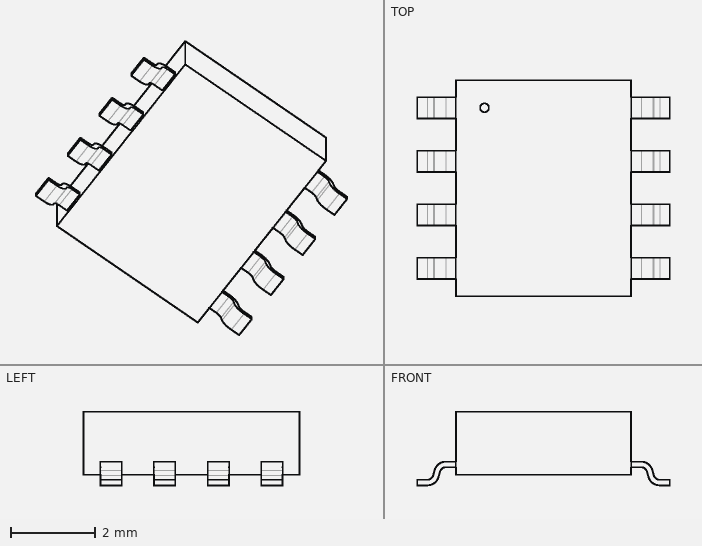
import cadquery as cq
import math

overall_length = 5.99
overall_height = 1.75

housing_length = 4.15
housing_width = 5.13
standoff = 0.25
housing_height = overall_height - standoff

marker_diameter = 0.21
marker_depth = 0.03
marker_inset_x = 0.675
marker_inset_y = 0.66
marker_x = -housing_length / 2 + marker_inset_x
marker_y = housing_width / 2 - marker_inset_y

leads_per_side = 4
lead_pitch = 1.27
lead_width = 0.51
lead_thickness = 0.14
lead_height = 0.57
foot_length = 0.24
bend_angle = math.radians(75)
inner_radius = 0.145
outer_radius = inner_radius + lead_thickness

bend_drop = (inner_radius + outer_radius) * (1 - math.cos(bend_angle))
web_length = (lead_height - lead_thickness - bend_drop) / math.sin(bend_angle)
bend_run = (inner_radius + outer_radius) * math.sin(bend_angle) + web_length * math.cos(bend_angle)

root_x = housing_length / 2
tip_x = overall_length / 2
foot_bend_x = tip_x - foot_length
foot_bend_z = outer_radius
shoulder_bend_x = foot_bend_x - bend_run
shoulder_bend_z = lead_height - outer_radius


def shoulder_point(radius, angle):
    """Point on the shoulder bend, with the angle measured from straight up toward the tip."""
    return (
        shoulder_bend_x + radius * math.sin(angle),
        shoulder_bend_z + radius * math.cos(angle),
    )


def foot_point(radius, angle):
    """Point on the foot bend, with the angle measured from straight down toward the housing."""
    return (
        foot_bend_x - radius * math.sin(angle),
        foot_bend_z - radius * math.cos(angle),
    )


def make_housing():
    """Plain block with a shallow round recess for the marker."""
    block = cq.Workplane("XY").box(
        housing_length, housing_width, housing_height, centered=(True, True, False)
    )
    return block.translate((0, 0, standoff)).cut(make_marker())


def make_marker():
    """Thin disc flush with the top of the housing."""
    return (
        cq.Workplane("XY", origin=(marker_x, marker_y, overall_height))
        .circle(marker_diameter / 2)
        .extrude(-marker_depth)
    )


def make_lead(y, turn):
    """S-shaped strip centred on y, turned about Z to put it on its side of the housing."""
    half_angle = bend_angle / 2
    lead = (
        cq.Workplane("XZ")
        .moveTo(root_x, lead_height)
        .lineTo(*shoulder_point(outer_radius, 0))
        .threePointArc(shoulder_point(outer_radius, half_angle), shoulder_point(outer_radius, bend_angle))
        .lineTo(*foot_point(inner_radius, bend_angle))
        .threePointArc(foot_point(inner_radius, half_angle), foot_point(inner_radius, 0))
        .lineTo(tip_x, lead_thickness)
        .lineTo(tip_x, 0)
        .lineTo(*foot_point(outer_radius, 0))
        .threePointArc(foot_point(outer_radius, half_angle), foot_point(outer_radius, bend_angle))
        .lineTo(*shoulder_point(inner_radius, bend_angle))
        .threePointArc(shoulder_point(inner_radius, half_angle), shoulder_point(inner_radius, 0))
        .lineTo(root_x, lead_height - lead_thickness)
        .close()
        .extrude(lead_width / 2, both=True)
    )
    return lead.translate((0, y, 0)).rotate((0, 0, 0), (0, 0, 1), turn)


housing = make_housing()
marker = make_marker()

leads = []
for turn in (0, 180):
    for index in range(leads_per_side):
        lead_y = (index - (leads_per_side - 1) / 2) * lead_pitch
        leads.append(make_lead(lead_y, turn).val())

result = cq.Compound.makeCompound([housing.val(), marker.val(), *leads])